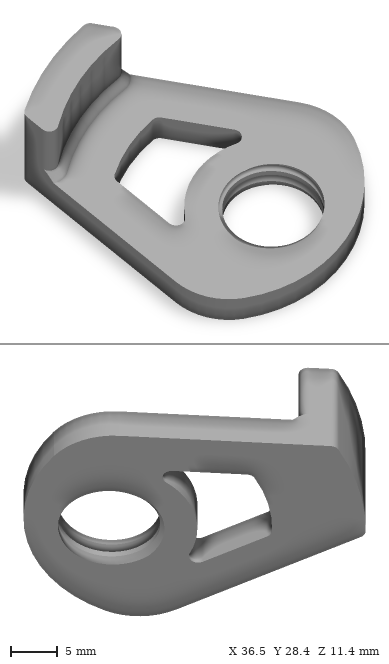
import cadquery as cq
import math

plate_thickness = 3.6
total_height = 11.39
rear_radius = 27.4
front_reach = 9.05
half_width = 28.43 / 2
shoulder_radius = 8.0
shoulder_x = -1.84
side_angle = math.radians(16.9)
corner_radius = 1.0

lip_thickness = 4.0
lip_inner_radius = rear_radius - lip_thickness
lip_chamfer = 1.0

window_rear_radius = 17.4
window_front_radius = 9.4
window_side_wall = 5.05

hole_x = -0.03
hole_y = 0.38
bore_radius = 5.48
thread_pitch = 1.75
thread_depth = 0.77
thread_flank_angle = math.radians(35)
thread_root_angle_at_top = 262.0

thread_overlap = 0.2
runout_turns = 1

side_along = (math.cos(side_angle), math.sin(side_angle))
side_normal = (-math.sin(side_angle), math.cos(side_angle))

shoulder_y = half_width - shoulder_radius
side_distance = shoulder_x * side_normal[0] + shoulder_y * side_normal[1] + shoulder_radius
shoulder_setback = front_reach - shoulder_radius - shoulder_x
front_radius = shoulder_radius + (shoulder_setback**2 + shoulder_y**2) / (2 * shoulder_setback)
front_centre_x = front_reach - front_radius


def mirrored(point):
    return (point[0], -point[1])


def point_on_side(distance, radius):
    """Rear crossing of a line parallel to the +Y side with a circle about the origin."""
    along = -math.sqrt(radius**2 - distance**2)
    return tuple(distance * n + along * u for n, u in zip(side_normal, side_along))


def shoulder_point(direction_x, direction_y):
    """Point of the +Y shoulder arc lying in the given direction from its centre."""
    length = math.hypot(direction_x, direction_y)
    return (
        shoulder_x + shoulder_radius * direction_x / length,
        shoulder_y + shoulder_radius * direction_y / length,
    )


def round_corner_pair(solid, corner):
    """Round the upright edges at a corner and at its mirror image."""
    x = corner[0]
    height = solid.val().BoundingBox().zmax
    slab = cq.selectors.BoxSelector(
        (x - corner_radius / 2, -half_width, 0),
        (x + corner_radius / 2, half_width, height),
    )
    return solid.edges("|Z").edges(slab).fillet(corner_radius)


def make_outline(height):
    rear_corner = point_on_side(side_distance, rear_radius)
    side_end = shoulder_point(*side_normal)
    shoulder_top = shoulder_point(0, 1)
    front_start = shoulder_point(shoulder_x - front_centre_x, shoulder_y)
    outline = (
        cq.Workplane("XY")
        .moveTo(*rear_corner)
        .lineTo(*side_end)
        .threePointArc(shoulder_top, front_start)
        .threePointArc((front_reach, 0), mirrored(front_start))
        .threePointArc(mirrored(shoulder_top), mirrored(side_end))
        .lineTo(*mirrored(rear_corner))
        .threePointArc((-rear_radius, 0), rear_corner)
        .close()
        .extrude(height)
    )
    return round_corner_pair(outline, rear_corner)


def make_lip():
    hollow = cq.Workplane("XY").circle(lip_inner_radius).extrude(total_height)
    front_part = cq.Workplane("XY").box(
        2 * rear_radius, 2 * rear_radius, total_height, centered=(False, True, False)
    )
    lip = make_outline(total_height).cut(hollow).cut(front_part)
    return round_corner_pair(lip, point_on_side(side_distance, lip_inner_radius))


def make_lip_chamfer(lip):
    """Sloped skirt round the foot of the lip, trimmed flush with the plate's outline."""
    footprint = lip.faces("<Z").wires().val()
    skirt = (
        cq.Workplane("XY")
        .add(footprint)
        .toPending()
        .offset2D(lip_chamfer)
        .extrude(plate_thickness + lip_chamfer)
        .faces(">Z")
        .chamfer(lip_chamfer)
    )
    return skirt.intersect(make_outline(total_height))


def make_window():
    distance = side_distance - window_side_wall
    lobe_radius = window_front_radius + corner_radius
    rear_corner = point_on_side(distance, window_rear_radius)
    lobe_centre = point_on_side(distance - corner_radius, lobe_radius)
    lobe_start = tuple(c + corner_radius * n for c, n in zip(lobe_centre, side_normal))
    lobe_tip = tuple(c + corner_radius * u for c, u in zip(lobe_centre, side_along))
    lobe_end = tuple(c * window_front_radius / lobe_radius for c in lobe_centre)
    window = (
        cq.Workplane("XY")
        .moveTo(*rear_corner)
        .lineTo(*lobe_start)
        .threePointArc(lobe_tip, lobe_end)
        .threePointArc((-window_front_radius, 0), mirrored(lobe_end))
        .threePointArc(mirrored(lobe_tip), mirrored(lobe_start))
        .lineTo(*mirrored(rear_corner))
        .threePointArc((-window_rear_radius, 0), rear_corner)
        .close()
        .extrude(plate_thickness)
    )
    return round_corner_pair(window, rear_corner)


def make_threaded_hole():
    """Plain bore joined with a right-handed V groove, both running out past the plate's faces."""
    turns = math.ceil(plate_thickness / thread_pitch) + 2 * runout_turns
    groove_length = turns * thread_pitch
    groove_start_z = plate_thickness - (turns - runout_turns) * thread_pitch
    mouth_radius = bore_radius - thread_overlap
    half_mouth = (thread_depth + thread_overlap) * math.tan(thread_flank_angle)
    helix = cq.Workplane(cq.Wire.makeHelix(thread_pitch, groove_length, bore_radius))
    groove = (
        cq.Workplane("XZ")
        .polyline([
            (mouth_radius, -half_mouth),
            (bore_radius + thread_depth, 0),
            (mouth_radius, half_mouth),
        ])
        .close()
        .sweep(helix, isFrenet=True)
        .rotate((0, 0, 0), (0, 0, 1), thread_root_angle_at_top)
        .translate((0, 0, groove_start_z))
    )
    bore = (
        cq.Workplane("XY", origin=(0, 0, groove_start_z - thread_pitch))
        .circle(bore_radius)
        .extrude(groove_length + 2 * thread_pitch)
    )
    return bore.union(groove).translate((hole_x, hole_y, 0))


lip = make_lip()
result = (
    make_outline(plate_thickness)
    .union(lip)
    .union(make_lip_chamfer(lip))
    .cut(make_window())
    .cut(make_threaded_hole())
)